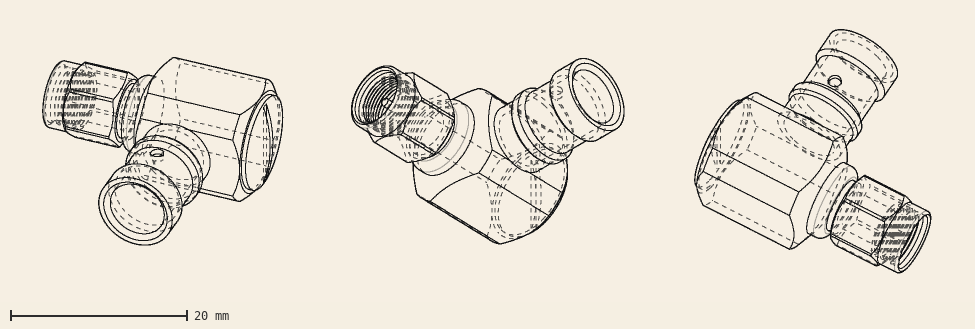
import cadquery as cq
import math


nut_radius = 3.9
nut_length = 8.9
rim_round = 0.32
hex_across_flats = 8.0
hex_corner_radius = 4.52
hex_start = 2.55
hex_corner_to_flat = 180 / 6
hex_tilt = 16.4
front_bevel_length = 0.55
rear_bevel_length = 0.45
rear_bevel_radius = 3.67

mouth_radius = nut_radius - rim_round
mouth_bevel_length = 0.2
thread_root_radius = 3.33
thread_crest_radius = 2.93
thread_start = 0.8
thread_pitch = 0.4
first_crest = 1.15
crest_count = 8
nut_floor = first_crest + (crest_count - 1) * thread_pitch

barrel_radius = 2.25
pin_radius = 0.48
pin_tip = 1.17
pin_tip_length = 0.48
pin_tip_radius = 0.13
neck_radius = 3.2
collar_radius = 4.52
collar_start = 9.7
collar_round = 0.93

block_size = 12.0
block_flat = 7.72
block_corner_radius = math.hypot(block_size, block_flat) / 2
block_start = 11.55
block_front_bevel_end = 12.95
block_rear_bevel_start = 24.32
block_end = 25.17

cap_radius = 5.53
cap_rim_end = 25.7
cap_top = 26.6
slot_width = 0.8
slot_floor = 25.8

ferrule_x = 17.4
overall_depth = 24.2
ferrule_length = overall_depth - block_size
ferrule_base_radius = 4.15
ferrule_waist_radius = 3.96
ferrule_flange_radius = 4.52
ferrule_base_length = 2.8
flange_start = 3.15
flange_end = 4.15
waist_start = 4.74
waist_end = 8.75
lip_start = 9.23
ferrule_bore_radius = 3.33
ferrule_mouth_radius = 3.9
ferrule_mouth_depth = 0.53
inspection_hole_diameter = 1.5
inspection_hole_distance = 5.75


def turned(points):
    """Solid turned about the X axis from an outline of (x, radius) points."""
    return cq.Workplane("XY").polyline(points).close().revolve(360, (0, 0, 0), (1, 0, 0))


def nut_outside():
    sleeve = (
        cq.Workplane("YZ").circle(nut_radius).extrude(nut_length / 2)
        .faces("<X").edges().fillet(rim_round)
    )
    hexagon = (
        cq.Workplane("YZ", origin=(hex_start, 0, 0))
        .transformed(rotate=(0, 0, hex_corner_to_flat - hex_tilt))
        .polygon(6, hex_across_flats / math.cos(math.radians(hex_corner_to_flat)))
        .extrude(nut_length - hex_start)
    )
    corner_envelope = turned([
        (hex_start, 0),
        (hex_start, nut_radius),
        (hex_start + front_bevel_length, hex_corner_radius),
        (nut_length - rear_bevel_length, hex_corner_radius),
        (nut_length, rear_bevel_radius),
        (nut_length, 0),
    ])
    return sleeve.union(hexagon.intersect(corner_envelope))


def nut_cavity():
    outline = [
        (0, 0),
        (0, mouth_radius),
        (mouth_bevel_length, thread_root_radius),
        (thread_start, thread_root_radius),
        (first_crest, thread_crest_radius),
    ]
    for i in range(1, crest_count):
        crest = first_crest + i * thread_pitch
        outline += [
            (crest - thread_pitch / 2, thread_root_radius),
            (crest, thread_crest_radius),
        ]
    outline.append((nut_floor, 0))
    return turned(outline)


def make_nut():
    barrel_hole = cq.Workplane("YZ").circle(barrel_radius).extrude(nut_length)
    return nut_outside().cut(nut_cavity()).cut(barrel_hole)


def pin_and_barrel():
    return turned([
        (pin_tip, 0),
        (pin_tip, pin_tip_radius),
        (pin_tip + pin_tip_length, pin_radius),
        (nut_floor, pin_radius),
        (nut_floor, barrel_radius),
        (nut_length, barrel_radius),
        (nut_length, neck_radius),
        (collar_start, neck_radius),
        (collar_start, 0),
    ])


def collar():
    return (
        cq.Workplane("YZ", origin=(collar_start, 0, 0))
        .circle(collar_radius).extrude(block_start - collar_start)
        .faces("<X").edges().fillet(collar_round)
    )


def block():
    bar = (
        cq.Workplane("YZ", origin=(block_start, 0, 0))
        .rect(block_size, block_size).extrude(block_end - block_start)
    )
    corner_envelope = turned([
        (block_start, 0),
        (block_start, collar_radius),
        (block_front_bevel_end, block_corner_radius),
        (block_rear_bevel_start, block_corner_radius),
        (block_end, block_size / 2),
        (block_end, 0),
    ])
    return bar.intersect(corner_envelope)


def slotted_cap():
    slot_half = slot_width / 2
    center_x = (
        (cap_top**2 + slot_half**2 - cap_rim_end**2 - cap_radius**2) / (2 * (cap_top - cap_rim_end))
    )
    dome_radius = math.hypot(cap_top - center_x, slot_half)
    apex_x = center_x + dome_radius
    cap = (
        cq.Workplane("XY")
        .moveTo(block_end, 0)
        .lineTo(block_end, cap_radius)
        .lineTo(cap_rim_end, cap_radius)
        .threePointArc((cap_top, slot_half), (apex_x, 0))
        .close()
        .revolve(360, (0, 0, 0), (1, 0, 0))
    )
    slot = (
        cq.Workplane("YZ", origin=(slot_floor, 0, 0))
        .rect(slot_width, 2 * cap_radius).extrude(cap_top - block_end)
    )
    return cap.cut(slot)


def make_connector_body():
    return pin_and_barrel().union(collar()).union(block()).union(slotted_cap())


def make_ferrule():
    outline = [
        (ferrule_bore_radius, 0),
        (ferrule_base_radius, 0),
        (ferrule_base_radius, ferrule_base_length),
        (ferrule_flange_radius, flange_start),
        (ferrule_flange_radius, flange_end),
        (ferrule_waist_radius, waist_start),
        (ferrule_waist_radius, waist_end),
        (ferrule_flange_radius, lip_start),
        (ferrule_flange_radius, ferrule_length),
        (ferrule_mouth_radius, ferrule_length),
        (ferrule_bore_radius, ferrule_length - ferrule_mouth_depth),
    ]
    tube = (
        cq.Workplane("XY", origin=(ferrule_x, -block_size / 2, 0))
        .polyline([(radius, -distance) for radius, distance in outline]).close()
        .revolve(360, (0, 0, 0), (0, 1, 0))
    )
    inspection_hole = (
        cq.Workplane("XY", origin=(ferrule_x, -block_size / 2 - inspection_hole_distance, 0))
        .circle(inspection_hole_diameter / 2).extrude(ferrule_waist_radius)
    )
    return tube.cut(inspection_hole)


nut = make_nut()
connector_body = make_connector_body()
ferrule = make_ferrule()

result = cq.Compound.makeCompound([nut.val(), connector_body.val(), ferrule.val()])